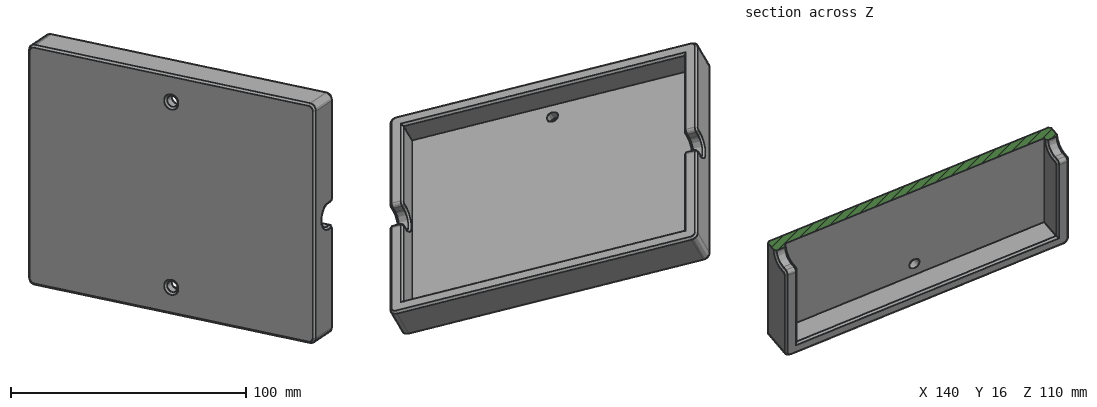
import cadquery as cq

length = 140.0
depth = 16.0
height = 110.0
corner_radius = 3.0
edge_chamfer = 1.0

wall = 6.0
front_plate = 5.0

hole_diameter = 5.0
hole_spacing = 85.0

notch_radius = 5.2
notch_center_depth = 3.9
notch_corner_radius = 1.7


def centered_block(x_size, y_size, z_size, front_y):
    """Block centred in X and Z whose front face lies at front_y."""
    block = cq.Workplane("XY").box(x_size, y_size, z_size, centered=(True, False, True))
    return block.translate((0, front_y, 0))


def cable_notch():
    """U-shaped cutter along X, with a rounded bottom."""
    center_y = depth - notch_center_depth
    return (
        cq.Workplane("YZ", origin=(-length / 2, 0, 0))
        .moveTo(depth, -notch_radius)
        .lineTo(center_y, -notch_radius)
        .threePointArc((center_y - notch_radius, 0), (center_y, notch_radius))
        .lineTo(depth, notch_radius)
        .close()
        .extrude(length)
    )


def screw_hole(z):
    """Through hole with a chamfered mouth on the front face."""
    radius = hole_diameter / 2
    mouth_radius = radius + edge_chamfer
    profile = [
        (0, 0),
        (mouth_radius, 0),
        (radius, edge_chamfer),
        (radius, front_plate),
        (0, front_plate),
    ]
    cutter = cq.Workplane("XY").polyline(profile).close().revolve(360, (0, 0), (0, 1))
    return cutter.translate((0, 0, z))


body = centered_block(length, depth, height, 0).edges("|Y").fillet(corner_radius)
cavity = centered_block(length - 2 * wall, depth - front_plate, height - 2 * wall, front_plate)
body = body.cut(cavity).cut(cable_notch())

notch_corner_region = cq.selectors.BoxSelector(
    (-length, depth - edge_chamfer, -notch_radius - edge_chamfer),
    (length, depth + edge_chamfer, notch_radius + edge_chamfer),
)
body = body.edges("|X").edges(notch_corner_region).fillet(notch_corner_radius)

notch_region = cq.selectors.BoxSelector(
    (-length, front_plate + edge_chamfer, -notch_radius - edge_chamfer),
    (length, depth + edge_chamfer, notch_radius + edge_chamfer),
)
face_edges = body.faces("<Y or >Y").edges()
notch_edges = body.edges(notch_region)
body = face_edges.add(notch_edges).chamfer(edge_chamfer)

for side in (-1, 1):
    body = body.cut(screw_hole(side * hole_spacing / 2))

result = body